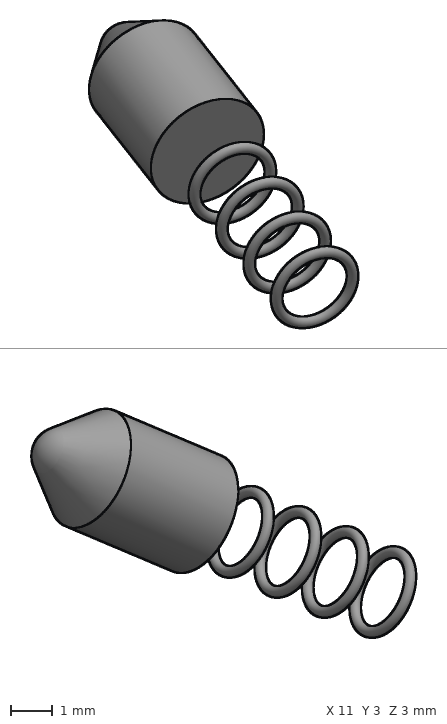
import cadquery as cq
import math

total_length = 11.0
front_x = -total_length / 2
rear_x = total_length / 2

plunger_diameter = 3.0
plunger_length = 5.0
nose_radius = 0.7
cone_half_angle = math.radians(35.0)

coil_count = 4
coil_outer_diameter = 2.3
wire_diameter = 0.29
coil_pitch = 1.5


def make_plunger():
    """Revolve the half profile; the spherical nose is tangent to the cone."""
    body_radius = plunger_diameter / 2
    back_x = front_x + plunger_length
    nose_centre_x = front_x + nose_radius

    def nose_point(angle):
        """Point on the nose arc, at an angle measured from the -X direction."""
        return (nose_centre_x - nose_radius * math.cos(angle), nose_radius * math.sin(angle))

    tangent_angle = math.pi / 2 - cone_half_angle
    tangent_x, tangent_radius = nose_point(tangent_angle)
    shoulder_x = tangent_x + (body_radius - tangent_radius) / math.tan(cone_half_angle)

    return (
        cq.Workplane("XY")
        .moveTo(front_x, 0)
        .threePointArc(nose_point(tangent_angle / 2), (tangent_x, tangent_radius))
        .lineTo(shoulder_x, body_radius)
        .lineTo(back_x, body_radius)
        .lineTo(back_x, 0)
        .close()
        .revolve(360, (0, 0, 0), (1, 0, 0))
    )


def make_coil(centre_x):
    """One round-wire ring around the X axis."""
    wire_radius = wire_diameter / 2
    ring_radius = coil_outer_diameter / 2 - wire_radius
    return (
        cq.Workplane("XY")
        .center(centre_x, ring_radius)
        .circle(wire_radius)
        .revolve(360, (0, -ring_radius, 0), (1, -ring_radius, 0))
    )


plunger = make_plunger()

last_coil_x = rear_x - wire_diameter / 2
coils = [make_coil(last_coil_x - i * coil_pitch) for i in range(coil_count)]

result = cq.Compound.makeCompound([plunger.val(), *[coil.val() for coil in coils]])